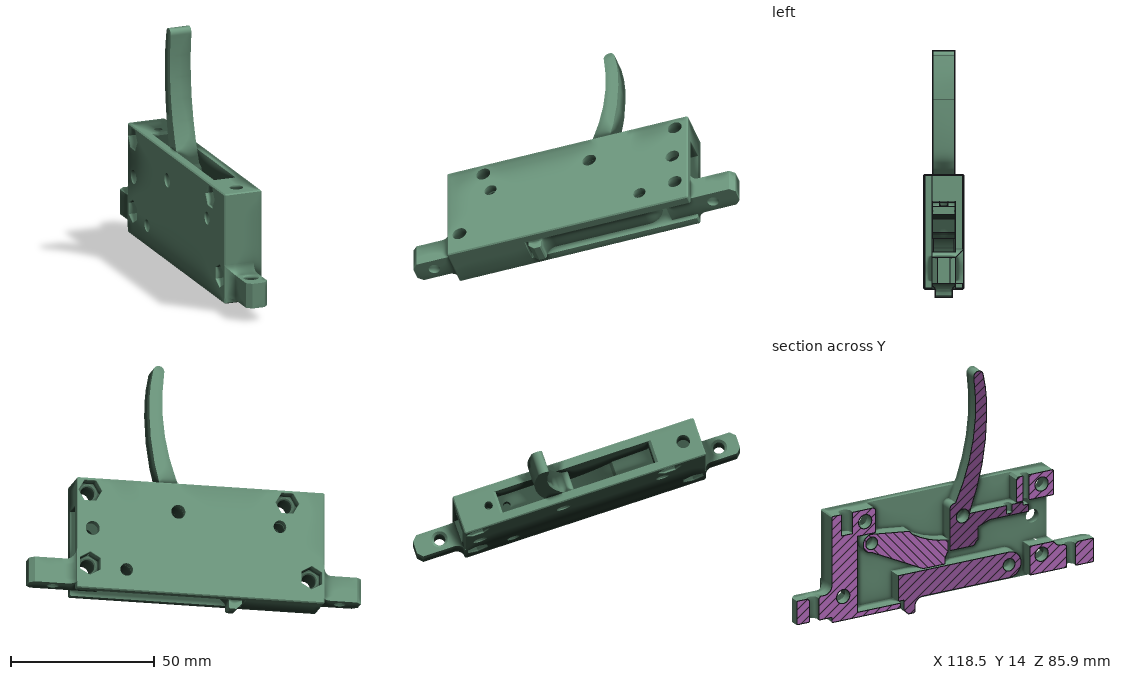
import cadquery as cq
import math


CASE_LENGTH = 88.5
CASE_DEPTH = 14.0
CASE_HEIGHT = 40.0
CASE_CHAMFER = 0.4
WALL = 3.0
COVER_Y = CASE_DEPTH - WALL
POCKET_WIDTH = COVER_Y - WALL
MID_Y = WALL + POCKET_WIDTH / 2

WINDOW_BOTTOM = 13.0
CAVITY_TOP = 30.4
CAVITY_LEFT = 9.5
CAVITY_RIGHT = 78.0
FLOOR_LEFT = 61.0
FLOOR_THICKNESS = 2.0
SLOT_LEFT = 14.0
SLOT_RIGHT = 71.8
SLOT_CHAMFER = 0.9

EAR_LENGTH_LEFT = 16.0
EAR_LENGTH_RIGHT = 14.0
EAR_BOTTOM = 2.0
EAR_TOP = 11.0
EAR_FILLET = 3.0
EAR_CHAMFER = 1.75
EAR_HOLE_OFFSET = 7.0
EAR_HOLE_DIAMETER = 4.0
EAR_SINK_DIAMETER = 5.7

PIVOT_DIAMETER = 5.0
SMALL_PIVOT_DIAMETER = 4.5
TRIGGER_PIVOT = (36.2, 29.7)
SEAR_PIVOT = (72.5, 26.7)
LATCH_PIVOT = (17.75, 7.6)
SAFETY_HOLE = (5.6, 21.8)

BOLT_DIAMETER = 5.1
BOLT_SINK_DIAMETER = 6.0
NUT_FLATS = 7.2
NUT_DEPTH = 4.5
NUT_CHAMFER = 0.15
UPPER_BOLTS = [(4.75, 35.4), (75.15, 35.4)]
LOWER_BOLTS = [(4.75, 9.0), (83.9, 9.0)]

SPRING_HOLE_X = 11.0
SPRING_HOLE_DIAMETER = 2.9
END_HOLE_X = 82.4
END_HOLE_DIAMETER = 4.7
END_HOLE_DEPTH = 8.0

LEVER_WIDTH = 7.8
SEAR_WIDTH = 7.0
TOOTH_WIDTH = 6.0
TOOTH_TIP = -2.87
TRIGGER_TOP = 83.0


def box(x0, x1, y0, y1, z0, z1):
    return cq.Workplane("XY").box(x1 - x0, y1 - y0, z1 - z0, centered=False).translate((x0, y0, z0))


def cross_rod(place, diameter, y0=-1.0, y1=CASE_DEPTH + 1.0):
    """Cylinder along Y at an (X, Z) place."""
    rod = cq.Solid.makeCylinder(diameter / 2, y1 - y0, cq.Vector(place[0], y0, place[1]), cq.Vector(0, 1, 0))
    return cq.Workplane(obj=rod)


def upright_rod(x, diameter, z0):
    """Cylinder along Z on the middle plane of the pocket, from z0 to the top of the case."""
    disc = cq.Workplane("XY", origin=(x, MID_Y, z0)).circle(diameter / 2)
    return disc.extrude(CASE_HEIGHT - z0)


def plate(sketch, width):
    """Extrude an XZ outline to a plate of the given width, centred in the pocket."""
    return sketch.extrude(width / 2, both=True).translate((0, MID_Y, 0))


def cut_cross_holes(body):
    """Cut the holes that pass through both side walls."""
    for place in (TRIGGER_PIVOT, SAFETY_HOLE):
        body = body.cut(cross_rod(place, PIVOT_DIAMETER))
    for place in (SEAR_PIVOT, LATCH_PIVOT):
        body = body.cut(cross_rod(place, SMALL_PIVOT_DIAMETER))
    for place in UPPER_BOLTS + LOWER_BOLTS:
        body = body.cut(cross_rod(place, BOLT_DIAMETER))
    return body


def make_case():
    """Chamfered block that the housing and cover are both taken from."""
    return box(0, CASE_LENGTH, 0, CASE_DEPTH, 0, CASE_HEIGHT).edges().chamfer(CASE_CHAMFER)


def make_left_ear(length):
    """Ear pointing to -X from the plane X = 0, with concave fillets on its top and front side."""
    ear = box(-length, CASE_CHAMFER, WALL, COVER_Y, EAR_BOTTOM, EAR_TOP)
    ear = ear.edges("|Z and <X").chamfer(EAR_CHAMFER)
    root = box(-EAR_FILLET, CASE_CHAMFER, WALL - EAR_FILLET, COVER_Y, EAR_BOTTOM, EAR_TOP + EAR_FILLET)
    top_round = cross_rod((-EAR_FILLET, EAR_TOP + EAR_FILLET), 2 * EAR_FILLET)
    side_round = (
        cq.Workplane("XY")
        .center(-EAR_FILLET, WALL - EAR_FILLET)
        .circle(EAR_FILLET)
        .extrude(CASE_HEIGHT)
    )
    ear = ear.union(root.cut(top_round).cut(side_round))
    sink_depth = (EAR_SINK_DIAMETER - EAR_HOLE_DIAMETER) / 2
    hole = (
        cq.Workplane("XZ", origin=(-EAR_HOLE_OFFSET, MID_Y, 0))
        .moveTo(0, 0)
        .lineTo(EAR_HOLE_DIAMETER / 2, 0)
        .lineTo(EAR_HOLE_DIAMETER / 2, EAR_TOP - sink_depth)
        .lineTo(EAR_SINK_DIAMETER / 2, EAR_TOP)
        .lineTo(0, EAR_TOP)
        .close()
        .revolve(360, (0, 0, 0), (0, 1, 0))
    )
    return ear.cut(hole)


def make_nut_pocket(place, turn):
    """Hexagonal pocket in the front face with a countersink around the bolt hole."""
    hexagon = (
        cq.Workplane("XZ")
        .polygon(6, NUT_FLATS / math.cos(math.radians(30)))
        .extrude(-NUT_DEPTH)
        .rotate((0, 0, 0), (0, 1, 0), turn)
    )
    sink_depth = (BOLT_SINK_DIAMETER - BOLT_DIAMETER) / 2
    mouth = (
        cq.Workplane("XZ")
        .polygon(6, (NUT_FLATS + 2 * NUT_CHAMFER) / math.cos(math.radians(30)))
        .extrude(-NUT_CHAMFER, taper=45)
        .rotate((0, 0, 0), (0, 1, 0), turn)
    )
    cone = cq.Solid.makeCone(
        BOLT_SINK_DIAMETER / 2,
        BOLT_DIAMETER / 2,
        sink_depth,
        cq.Vector(0, NUT_DEPTH, 0),
        cq.Vector(0, 1, 0),
    )
    return hexagon.union(mouth).union(cq.Workplane(obj=cone)).translate((place[0], 0, place[1]))


def make_slot():
    """Opening through the top of the housing, chamfered at both ends."""
    rim = CASE_HEIGHT - SLOT_CHAMFER
    outline = (
        cq.Workplane("XZ")
        .moveTo(SLOT_LEFT + SLOT_CHAMFER, CAVITY_TOP)
        .lineTo(SLOT_LEFT + SLOT_CHAMFER, rim)
        .lineTo(SLOT_LEFT, CASE_HEIGHT)
        .lineTo(SLOT_RIGHT, CASE_HEIGHT)
        .lineTo(SLOT_RIGHT - SLOT_CHAMFER, rim)
        .lineTo(SLOT_RIGHT - SLOT_CHAMFER, CAVITY_TOP)
        .close()
    )
    return plate(outline, POCKET_WIDTH)


def make_housing():
    housing = make_case().cut(box(-1, CASE_LENGTH + 1, COVER_Y, CASE_DEPTH + 1, -1, CASE_HEIGHT + 1))
    right_ear = make_left_ear(EAR_LENGTH_RIGHT).mirror("YZ").translate((CASE_LENGTH, 0, 0))
    housing = housing.union(make_left_ear(EAR_LENGTH_LEFT)).union(right_ear)

    main_cavity = box(CAVITY_LEFT, CAVITY_RIGHT, WALL, COVER_Y, 0, CAVITY_TOP)
    main_cavity = main_cavity.cut(box(FLOOR_LEFT, CAVITY_RIGHT, WALL, COVER_Y, 0, FLOOR_THICKNESS))
    left_window = box(-EAR_FILLET, CAVITY_LEFT, WALL, COVER_Y, WINDOW_BOTTOM, CAVITY_TOP)
    foot_notch = box(0, CAVITY_LEFT, WALL, COVER_Y, 0, EAR_BOTTOM)
    for space in (main_cavity, left_window, foot_notch, make_slot()):
        housing = housing.cut(space)

    housing = cut_cross_holes(housing)
    for place in UPPER_BOLTS:
        housing = housing.cut(make_nut_pocket(place, 0))
    for place in LOWER_BOLTS:
        housing = housing.cut(make_nut_pocket(place, 30))
    spring_hole = upright_rod(SPRING_HOLE_X, SPRING_HOLE_DIAMETER, CAVITY_TOP)
    end_hole = upright_rod(END_HOLE_X, END_HOLE_DIAMETER, CASE_HEIGHT - END_HOLE_DEPTH)
    housing = housing.cut(spring_hole).cut(end_hole)
    return housing


def make_cover():
    cover = make_case().intersect(box(0, CASE_LENGTH, COVER_Y, CASE_DEPTH, 0, CASE_HEIGHT))
    return cut_cross_holes(cover)


def make_trigger():
    """Curved blade standing on a hub block, with an arm to the left that carries a set screw hole."""
    arm_end = 9.9
    arm_top = 30.2
    arm_slope_bottom = 28.9
    arm_slope_end = 11.4
    arm_bottom = 26.1
    block_left = 30.0
    block_right = 41.4
    block_bottom = 17.6
    outline = (
        cq.Workplane("XZ")
        .moveTo(arm_end, arm_slope_bottom)
        .lineTo(arm_slope_end, arm_top)
        .lineTo(33.5, arm_top)
        .threePointArc((27.7, 51.9), (26.55, 66.1))
        .threePointArc((26.8, 73.9), (28.0, 81.4))
        .threePointArc((29.8, TRIGGER_TOP), (31.9, 80.8))
        .threePointArc((32.4, 56.0), (39.1, 35.3))
        .lineTo(40.0, 35.1)
        .threePointArc((41.0, 34.4), (block_right, 33.2))
        .lineTo(block_right, block_bottom)
        .lineTo(31.7, block_bottom)
        .lineTo(30.7, 19.1)
        .lineTo(block_left, 19.7)
        .lineTo(block_left, 24.4)
        .lineTo(25.4, arm_bottom)
        .lineTo(arm_end, arm_bottom)
        .close()
    )
    trigger = plate(outline, LEVER_WIDTH).cut(cross_rod(TRIGGER_PIVOT, PIVOT_DIAMETER))
    screw_x = 17.7
    screw_diameter = 2.7
    screw_bottom = 27.0
    spring_seat_bottom = 29.0
    screw_hole = upright_rod(screw_x, screw_diameter, screw_bottom)
    spring_seat = upright_rod(SPRING_HOLE_X, SPRING_HOLE_DIAMETER, spring_seat_bottom)
    return trigger.cut(screw_hole).cut(spring_seat)


def make_sear():
    """Lever on the right pivot, with a hollowed top and a hollowed nose at its left end."""
    hub_radius = 3.5
    nose = 41.9
    outline = (
        cq.Workplane("XZ")
        .moveTo(nose, 22.0)
        .threePointArc((50.0, 23.8), (56.4, 27.0))
        .lineTo(57.4, 28.3)
        .lineTo(SEAR_PIVOT[0], SEAR_PIVOT[1] + hub_radius)
        .threePointArc(
            (SEAR_PIVOT[0] + hub_radius, SEAR_PIVOT[1]),
            (SEAR_PIVOT[0], SEAR_PIVOT[1] - hub_radius),
        )
        .lineTo(52.0, 13.0)
        .lineTo(43.2, 13.0)
        .lineTo(43.2, 14.4)
        .threePointArc((42.8, 16.1), (nose, 17.6))
        .close()
    )
    return plate(outline, SEAR_WIDTH).cut(cross_rod(SEAR_PIVOT, SMALL_PIVOT_DIAMETER))


def make_latch():
    """Lever on the lower left pivot whose tooth sticks out below the housing."""
    hub_radius = 4.9
    bar_top = LATCH_PIVOT[1] + hub_radius
    bar_bottom = LATCH_PIVOT[1] - hub_radius
    tooth_left = 55.2
    tooth_right = 59.8
    bar_end = 62.0
    root_radius = 3.2
    root_offset = root_radius * (1 - math.sqrt(0.5))
    tip_chamfer_left = 0.5
    tip_chamfer_right = 1.9
    outline = (
        cq.Workplane("XZ")
        .moveTo(LATCH_PIVOT[0], bar_top)
        .lineTo(bar_end, bar_top)
        .lineTo(bar_end, bar_bottom)
        .lineTo(tooth_right, bar_bottom)
        .lineTo(tooth_right, TOOTH_TIP + tip_chamfer_right)
        .lineTo(tooth_right - tip_chamfer_right, TOOTH_TIP)
        .lineTo(tooth_left + tip_chamfer_left, TOOTH_TIP)
        .lineTo(tooth_left, TOOTH_TIP + tip_chamfer_left)
        .lineTo(tooth_left, bar_bottom - root_radius)
        .threePointArc(
            (tooth_left - root_offset, bar_bottom - root_offset),
            (tooth_left - root_radius, bar_bottom),
        )
        .lineTo(LATCH_PIVOT[0], bar_bottom)
        .threePointArc((LATCH_PIVOT[0] - hub_radius, LATCH_PIVOT[1]), (LATCH_PIVOT[0], bar_top))
        .close()
    )
    shoulder_bottom = 0.3
    half_tooth = TOOTH_WIDTH / 2
    half_bar = LEVER_WIDTH / 2
    cross_section = (
        cq.Workplane("YZ", origin=(0, MID_Y, 0))
        .moveTo(-half_tooth, TOOTH_TIP)
        .lineTo(half_tooth, TOOTH_TIP)
        .lineTo(half_tooth, shoulder_bottom)
        .lineTo(half_bar, shoulder_bottom + half_bar - half_tooth)
        .lineTo(half_bar, bar_top)
        .lineTo(-half_bar, bar_top)
        .lineTo(-half_bar, shoulder_bottom + half_bar - half_tooth)
        .lineTo(-half_tooth, shoulder_bottom)
        .close()
        .extrude(CASE_LENGTH)
    )
    latch = plate(outline, LEVER_WIDTH).intersect(cross_section)
    return latch.cut(cross_rod(LATCH_PIVOT, SMALL_PIVOT_DIAMETER))


housing = make_housing()
cover = make_cover()
trigger = make_trigger()
sear = make_sear()
latch = make_latch()

result = cq.Compound.makeCompound([housing.val(), cover.val(), trigger.val(), sear.val(), latch.val()])